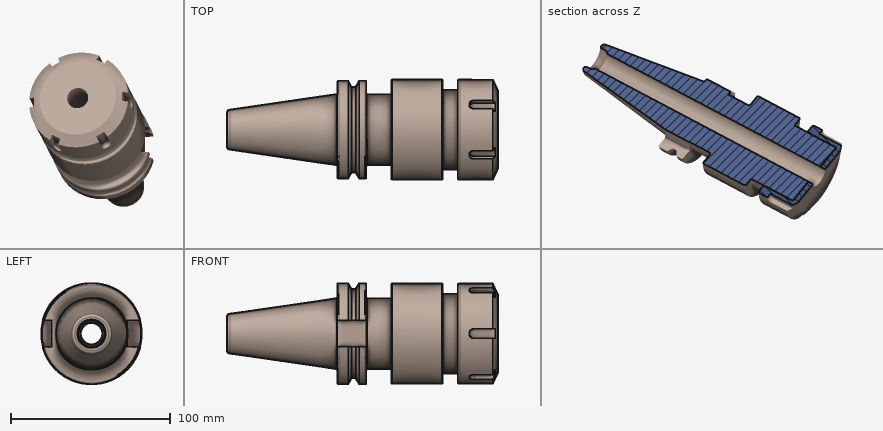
import cadquery as cq
import math


GAUGE_DIAMETER = 44.45
TAPER_LENGTH = 68.25
TAPER_RATIO = 7 / 24
SHANK_END_FILLET = 2.0

THREAD_BORE_DIAMETER = 13.39
PILOT_DIAMETER = 16.78
PILOT_DEPTH = 4.2
PILOT_CHAMFER_DEPTH = 0.5
PILOT_CHAMFER_LENGTH = 0.9
STEP_DIAMETER = 16.28
STEP_LENGTH = 0.9

FLANGE_DIAMETER = 63.5
FLANGE_START = 0.9
FLANGE_END = 19.15
FLANGE_RIM_FILLET = 1.0
GROOVE_CENTER = 11.1
GROOVE_DIAMETER = 56.2
GROOVE_MOUTH_WIDTH = 7.0
GROOVE_FLOOR_WIDTH = 2.6
GROOVE_FLANK_END_WIDTH = 3.6
GROOVE_FLANK_ANGLE = 60

DRIVE_SLOT_WIDTH = 16.6
DRIVE_SLOT_FLOOR_NEAR = 22.4
DRIVE_SLOT_FLOOR_FAR = 24.9

NECK_DIAMETER = 44.45
SLEEVE_DIAMETER = 63.0
SLEEVE_START = 34.75
SLEEVE_END = 66.9
SLEEVE_CHAMFER = 0.5
NOSE_DIAMETER = 50.0
CORNER_FILLET = 0.5

NUT_DIAMETER = 63.0
NUT_START = 76.15
NUT_END = 101.6
NUT_BACK_FILLET = 1.5
NUT_FACE_DIAMETER = 48.5
NUT_BEVEL_LENGTH = 3.4
NUT_SLOT_COUNT = 6
NUT_SLOT_WIDTH = 6.0
NUT_SLOT_START = 83.5
NUT_SLOT_FLOOR_RADIUS = 28.0

BEVEL_START = NUT_END - NUT_BEVEL_LENGTH
NOSE_END = BEVEL_START


def revolve_about_x(profile):
    """Turn a closed profile of (x, radius) points around the X axis."""
    return profile.close().revolve(360, (0, 0, 0), (1, 0, 0))


def turned_cylinder(diameter, x_start, x_end):
    return cq.Workplane("YZ", origin=(x_start, 0, 0)).circle(diameter / 2).extrude(x_end - x_start)


def corner_fillet(face_x, diameter, direction):
    """Ring that rounds the inside corner of a cylinder and a face toward +X (1) or -X (-1)."""
    radius = diameter / 2
    inner_radius = radius - CORNER_FILLET
    tip_x = face_x + direction * CORNER_FILLET
    arc_offset = CORNER_FILLET * (1 - math.sqrt(0.5))
    arc_middle = (face_x + direction * arc_offset, radius + arc_offset)
    return revolve_about_x(
        cq.Workplane("XY")
        .moveTo(face_x, inner_radius)
        .lineTo(tip_x, inner_radius)
        .lineTo(tip_x, radius)
        .threePointArc(arc_middle, (face_x, radius + CORNER_FILLET))
    )


def holder_blank():
    """Solid turned outline of shank, flange, neck, sleeve and nose."""
    shank_end_radius = (GAUGE_DIAMETER - TAPER_LENGTH * TAPER_RATIO) / 2
    shank = revolve_about_x(
        cq.Workplane("XY").polyline([
            (-TAPER_LENGTH, 0),
            (-TAPER_LENGTH, shank_end_radius),
            (0, GAUGE_DIAMETER / 2),
            (0, 0),
        ])
    ).faces("<X").edges().fillet(SHANK_END_FILLET)

    sleeve = turned_cylinder(SLEEVE_DIAMETER, SLEEVE_START, SLEEVE_END).edges().chamfer(SLEEVE_CHAMFER)
    blank = (
        shank
        .union(turned_cylinder(NECK_DIAMETER, 0, SLEEVE_START))
        .union(gripper_flange())
        .union(sleeve)
        .union(turned_cylinder(NOSE_DIAMETER, SLEEVE_END, NOSE_END))
    )
    for face_x, diameter, direction in [
        (FLANGE_START, NECK_DIAMETER, -1),
        (FLANGE_END, NECK_DIAMETER, 1),
        (SLEEVE_START, NECK_DIAMETER, -1),
        (SLEEVE_END, NOSE_DIAMETER, 1),
    ]:
        blank = blank.union(corner_fillet(face_x, diameter, direction))
    return blank


def gripper_flange():
    """Flange with rounded rims and a V groove whose steep lower walls reach a flat floor."""
    rim_radius = FLANGE_DIAMETER / 2
    floor_radius = GROOVE_DIAMETER / 2
    half_mouth = GROOVE_MOUTH_WIDTH / 2
    half_floor = GROOVE_FLOOR_WIDTH / 2
    half_flank_end = GROOVE_FLANK_END_WIDTH / 2
    flank_depth = (half_mouth - half_flank_end) * math.tan(math.radians(GROOVE_FLANK_ANGLE))
    flank_radius = rim_radius - flank_depth
    flange = revolve_about_x(
        cq.Workplane("XY").polyline([
            (FLANGE_START, 0),
            (FLANGE_START, rim_radius),
            (GROOVE_CENTER - half_mouth, rim_radius),
            (GROOVE_CENTER - half_flank_end, flank_radius),
            (GROOVE_CENTER - half_floor, floor_radius),
            (GROOVE_CENTER + half_floor, floor_radius),
            (GROOVE_CENTER + half_flank_end, flank_radius),
            (GROOVE_CENTER + half_mouth, rim_radius),
            (FLANGE_END, rim_radius),
            (FLANGE_END, 0),
        ])
    )
    return flange.faces("<X or >X").edges().fillet(FLANGE_RIM_FILLET)


def drive_slot(floor_distance, side):
    """Block that opens the flange on the +Y (side = 1) or -Y (side = -1) side."""
    length = FLANGE_END - FLANGE_START
    depth = FLANGE_DIAMETER / 2 - floor_distance
    center = ((FLANGE_START + FLANGE_END) / 2, side * (floor_distance + depth / 2), 0)
    return cq.Workplane("XY").box(length, depth, DRIVE_SLOT_WIDTH).translate(center)


def drawbar_bore():
    """Through bore entered by a chamfered pilot, a short step and a 45 degree cone."""
    bore_radius = THREAD_BORE_DIAMETER / 2
    pilot_radius = PILOT_DIAMETER / 2
    step_radius = STEP_DIAMETER / 2
    pilot_end = -TAPER_LENGTH + PILOT_DEPTH
    step_end = pilot_end + STEP_LENGTH
    return revolve_about_x(
        cq.Workplane("XY").polyline([
            (-TAPER_LENGTH, 0),
            (-TAPER_LENGTH, pilot_radius + PILOT_CHAMFER_DEPTH),
            (-TAPER_LENGTH + PILOT_CHAMFER_LENGTH, pilot_radius),
            (pilot_end, pilot_radius),
            (pilot_end, step_radius),
            (step_end, step_radius),
            (step_end + step_radius - bore_radius, bore_radius),
            (NOSE_END, bore_radius),
            (NOSE_END, 0),
        ])
    )


def build_holder():
    return (
        holder_blank()
        .cut(drive_slot(DRIVE_SLOT_FLOOR_NEAR, -1))
        .cut(drive_slot(DRIVE_SLOT_FLOOR_FAR, 1))
        .cut(drawbar_bore())
    )


def wrench_slot(angle):
    """Round-ended slot, open toward the nut face, turned about X from the -Y side."""
    half_width = NUT_SLOT_WIDTH / 2
    arc_center = NUT_SLOT_START + half_width
    slot = (
        cq.Workplane("XZ", origin=(0, -NUT_SLOT_FLOOR_RADIUS, 0))
        .moveTo(NUT_END, half_width)
        .lineTo(arc_center, half_width)
        .threePointArc((NUT_SLOT_START, 0), (arc_center, -half_width))
        .lineTo(NUT_END, -half_width)
        .close()
        .extrude(NUT_DIAMETER / 2 - NUT_SLOT_FLOOR_RADIUS)
    )
    return slot.rotate((0, 0, 0), (1, 0, 0), angle)


def build_nut():
    """Beveled nut with a recess for the nose and the bore continued through its face."""
    radius = NUT_DIAMETER / 2
    nut = revolve_about_x(
        cq.Workplane("XY").polyline([
            (NUT_START, 0),
            (NUT_START, radius),
            (BEVEL_START, radius),
            (NUT_END, NUT_FACE_DIAMETER / 2),
            (NUT_END, 0),
        ])
    ).faces("<X").edges().fillet(NUT_BACK_FILLET)
    nut = nut.cut(turned_cylinder(NOSE_DIAMETER, NUT_START, NOSE_END))
    nut = nut.cut(turned_cylinder(THREAD_BORE_DIAMETER, NOSE_END, NUT_END))
    for index in range(NUT_SLOT_COUNT):
        nut = nut.cut(wrench_slot(index * 360 / NUT_SLOT_COUNT))
    return nut


holder = build_holder()
nut = build_nut()
result = cq.Compound.makeCompound([holder.val(), nut.val()])